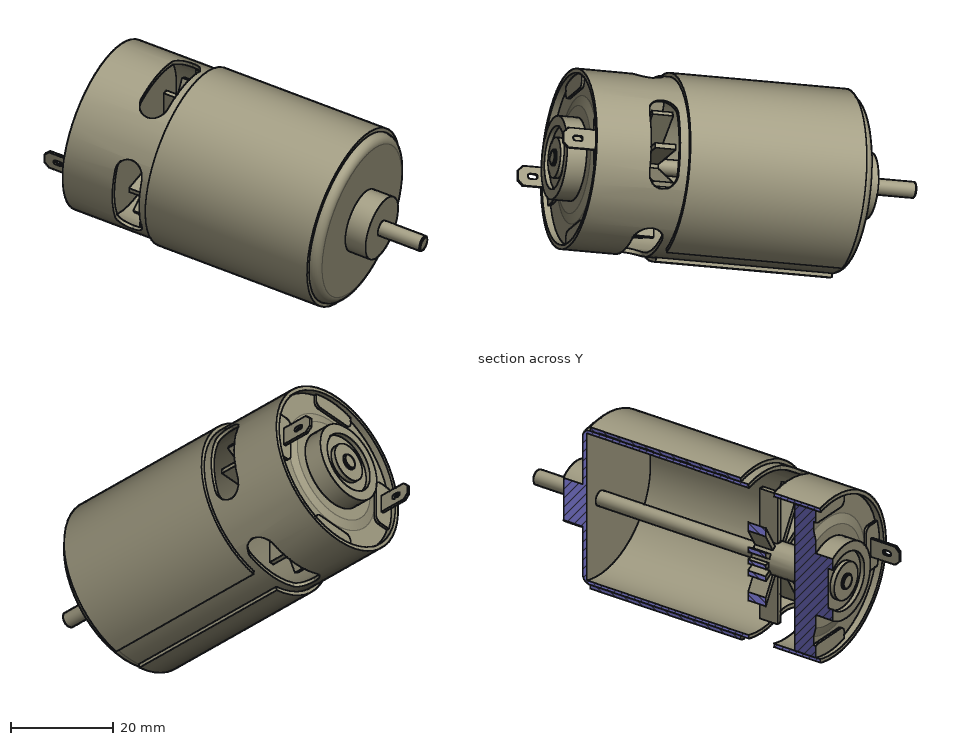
import cadquery as cq
import math


overall_length = 77.0

can_radius = 17.8
can_wall = 0.85
can_bore_radius = can_radius - can_wall
can_length = 57.1
can_front_fillet = 1.85
front_wall = 1.15
front_boss_radius = 6.55
front_boss_length = 4.55

window_center_x = 14.2
window_width = 6.0
window_length = 18.0
window_corner_radius = 2.9

ring_diameter = 37.2
ring_radius = ring_diameter / 2
ring_start_x = 19.0
ring_end_x = can_length - can_front_fillet
ring_gap_angle = 21.0

cap_face_x = 1.55
cap_inner_x = 6.15
cone_base_radius = 12.6
cone_top_radius = 10.6
cone_height = 0.55
rear_boss_radius = 8.25
rear_boss_end_x = -3.0
boss_recess_outer_radius = 6.2
boss_recess_inner_radius = 4.0
boss_recess_depth = 1.0
pad_height = 0.55
pad_width = 10.0
pad_corner_radius = 1.2
terminal_pad_inner = 12.5
plain_pad_inner = 13.5

terminal_tip_x = -5.85
terminal_offset = 14.25
terminal_width = 4.0
terminal_thickness = 0.55
terminal_chamfer = 1.0
terminal_hole_center_x = -2.85
terminal_hole_length = 2.0
terminal_hole_width = 1.1

shaft_radius = 1.6
shaft_rear_x = -3.5
shaft_front_x = terminal_tip_x + overall_length
shaft_chamfer = 0.2
hub_radius = 3.5
blade_count = 12
blade_tip_radius = 14.5
blade_thickness = 1.0
blade_start_x = 13.1
blade_end_x = 17.3


def cylinder(radius, start_x, end_x):
    """Solid cylinder on the X axis between two stations."""
    return cq.Workplane("YZ", origin=(start_x, 0, 0)).circle(radius).extrude(end_x - start_x)


def window_cutter(plane, long_edges):
    """Rounded slot through both walls of the can, long side across the axis."""
    return (
        cq.Workplane(plane)
        .center(window_center_x, 0)
        .rect(window_width, window_length)
        .extrude(can_radius, both=True)
        .edges(long_edges)
        .fillet(window_corner_radius)
    )


def make_can():
    can = cylinder(can_radius, 0, can_length).faces(">X").edges().fillet(can_front_fillet)
    can = can.union(cylinder(front_boss_radius, can_length - front_wall, can_length + front_boss_length))
    can = can.cut(cylinder(can_bore_radius, 0, can_length - front_wall))
    for plane, long_edges in (("XZ", "|Y"), ("XY", "|Z")):
        can = can.cut(window_cutter(plane, long_edges))
    return can.cut(cylinder(shaft_radius, 0, can_length + front_boss_length))


def make_flux_ring():
    """Split sleeve with its radial-sided gap at the bottom."""
    ring = cylinder(ring_radius, ring_start_x, ring_end_x).cut(cylinder(can_radius, ring_start_x, ring_end_x))
    reach = 2 * ring_radius
    half_gap = reach * math.tan(math.radians(ring_gap_angle / 2))
    gap = (
        cq.Workplane("YZ", origin=(ring_start_x, 0, 0))
        .polyline([(0, 0), (half_gap, -reach), (-half_gap, -reach)])
        .close()
        .extrude(ring_end_x - ring_start_x)
    )
    return ring.cut(gap)


def make_pad(inner_distance, angle):
    """Raised pad at the edge of the cap face, from inner_distance out to the can wall."""
    pad_top_x = cap_face_x - pad_height
    radial_length = can_radius - inner_distance
    pad = (
        cq.Workplane("YZ", origin=(pad_top_x, 0, 0))
        .center(inner_distance + radial_length / 2, 0)
        .rect(radial_length, pad_width)
        .extrude(pad_height)
        .edges("|X and <Y")
        .fillet(pad_corner_radius)
        .intersect(cylinder(can_bore_radius, pad_top_x, cap_face_x))
    )
    return pad.rotate((0, 0, 0), (1, 0, 0), angle)


def make_terminal(y):
    """Flat blade terminal with a chamfered tip and a slotted hole, rooted in the cap face."""
    length = cap_face_x - terminal_tip_x
    blade = (
        cq.Workplane("XY")
        .box(length, terminal_thickness, terminal_width)
        .edges("|Y and <X")
        .chamfer(terminal_chamfer)
        .translate((terminal_tip_x + length / 2, y, 0))
    )
    hole = (
        cq.Workplane("XZ")
        .center(terminal_hole_center_x, 0)
        .slot2D(terminal_hole_length, terminal_hole_width)
        .extrude(can_radius, both=True)
    )
    return blade.cut(hole)


def make_end_cap():
    cone_top_x = cap_face_x - cone_height
    cap = cylinder(can_bore_radius, cap_face_x, cap_inner_x)
    cone = (
        cq.Workplane("XY")
        .polyline(
            [(cap_face_x, 0), (cap_face_x, cone_base_radius), (cone_top_x, cone_top_radius), (cone_top_x, 0)]
        )
        .close()
        .revolve(360, (0, 0, 0), (1, 0, 0))
    )
    cap = cap.union(cone).union(cylinder(rear_boss_radius, rear_boss_end_x, cap_face_x))

    recess_floor_x = rear_boss_end_x + boss_recess_depth
    recess = cylinder(boss_recess_outer_radius, rear_boss_end_x, recess_floor_x).cut(
        cylinder(boss_recess_inner_radius, rear_boss_end_x, recess_floor_x)
    )
    cap = cap.cut(recess)

    for side_angle in (0, 180):
        cap = cap.union(make_pad(terminal_pad_inner, side_angle))
        cap = cap.union(make_pad(plain_pad_inner, side_angle + 90))
    for side in (-1, 1):
        cap = cap.union(make_terminal(side * terminal_offset))
    return cap.cut(cylinder(shaft_radius, rear_boss_end_x, cap_inner_x))


def make_rotor():
    """Shaft, hub and radial blades in one piece."""
    rotor = cylinder(shaft_radius, shaft_rear_x, shaft_front_x).faces("<X or >X").edges().chamfer(shaft_chamfer)
    rotor = rotor.union(cylinder(hub_radius, cap_inner_x, blade_end_x))
    blade_length = blade_end_x - blade_start_x
    blade = cq.Workplane("XY").box(blade_length, blade_tip_radius, blade_thickness).translate(
        (blade_start_x + blade_length / 2, blade_tip_radius / 2, 0)
    )
    for index in range(blade_count):
        rotor = rotor.union(blade.rotate((0, 0, 0), (1, 0, 0), index * 360 / blade_count))
    return rotor


can = make_can()
flux_ring = make_flux_ring()
end_cap = make_end_cap()
rotor = make_rotor()

result = cq.Compound.makeCompound([can.val(), flux_ring.val(), end_cap.val(), rotor.val()])